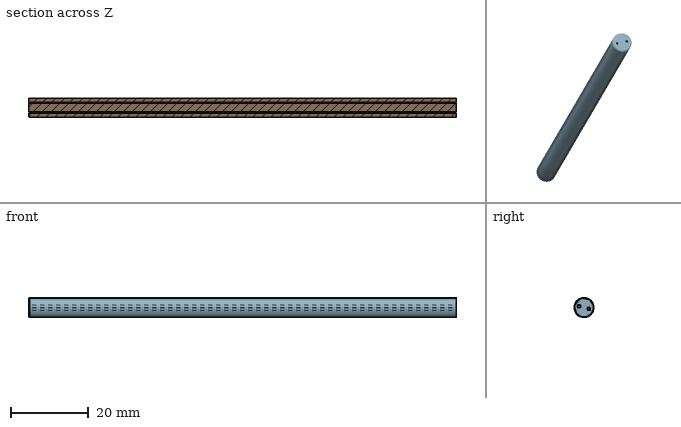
import cadquery as cq
import math

rod_length = 110.0
rod_diameter = 5.0
end_chamfer = 0.25

channel_diameter = 0.7
channel_pitch_circle = 2.6
channel_angle = 165.0

start_plane = cq.Plane.YZ(origin=(-rod_length / 2, 0, 0))


def make_rod():
    """Solid cylinder along X with the rim of its -X end chamfered."""
    rod = cq.Workplane(start_plane).circle(rod_diameter / 2).extrude(rod_length)
    return rod.faces("<X").edges().chamfer(end_chamfer)


def make_channels():
    """Two straight round channels running the full length of the rod."""
    radius = channel_pitch_circle / 2
    angle = math.radians(channel_angle)
    y = radius * math.cos(angle)
    z = radius * math.sin(angle)
    return (
        cq.Workplane(start_plane)
        .pushPoints([(y, z), (-y, -z)])
        .circle(channel_diameter / 2)
        .extrude(rod_length)
    )


result = make_rod().cut(make_channels())